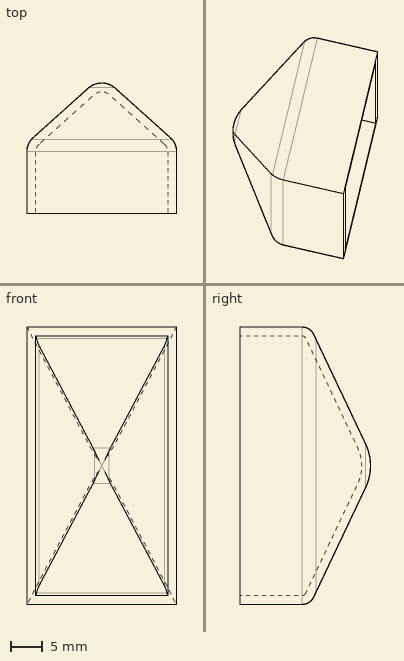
import cadquery as cq
import math

width = 23.5
height = 43.5
depth = 20.5
wall = 1.4
side_depth = 9.7
width_edge_radius = 2.95
height_edge_radius = 2.1
width_apex_radius = 3.15
height_apex_radius = 7.9


def roof_profile(plane, span, edge_radius, apex_radius, inset):
    """Closed outline (across, Y), shrunk by inset, with arcs joined by tangent slopes."""
    edge_r = edge_radius - inset
    apex_r = apex_radius - inset
    edge_x = span / 2 - edge_radius
    apex_y = depth - apex_radius

    rise = apex_y - side_depth
    distance = math.hypot(edge_x, rise)
    slope = math.atan2(rise, edge_x) + math.asin((apex_r - edge_r) / distance)

    def on_arc(center_x, center_y, radius, tilt):
        """Point on an arc whose normal leans by tilt away from +Y."""
        return center_x + radius * math.sin(tilt), center_y + radius * math.cos(tilt)

    def mirrored(point):
        return -point[0], point[1]

    side_end = (span / 2 - inset, side_depth)
    edge_mid = on_arc(edge_x, side_depth, edge_r, (slope + math.pi / 2) / 2)
    slope_start = on_arc(edge_x, side_depth, edge_r, slope)
    slope_end = on_arc(0, apex_y, apex_r, slope)
    apex = (0, depth - inset)

    return (
        cq.Workplane(plane)
        .moveTo(span / 2 - inset, 0)
        .lineTo(*side_end)
        .threePointArc(edge_mid, slope_start)
        .lineTo(*slope_end)
        .threePointArc(apex, mirrored(slope_end))
        .lineTo(*mirrored(slope_start))
        .threePointArc(mirrored(edge_mid), mirrored(side_end))
        .lineTo(-span / 2 + inset, 0)
        .close()
    )


def hipped_block(inset):
    """Solid bounded by both profiles, whose roofs meet along the hip edges."""
    height_plane = cq.Plane(origin=(0, 0, 0), xDir=(0, 0, 1), normal=(-1, 0, 0))
    width_profile = roof_profile("XY", width, width_edge_radius, width_apex_radius, inset)
    height_profile = roof_profile(height_plane, height, height_edge_radius, height_apex_radius, inset)
    across_width = width_profile.extrude(height / 2 - inset, both=True)
    along_height = height_profile.extrude(width / 2 - inset, both=True)
    return across_width.intersect(along_height)


result = hipped_block(0).cut(hipped_block(wall))